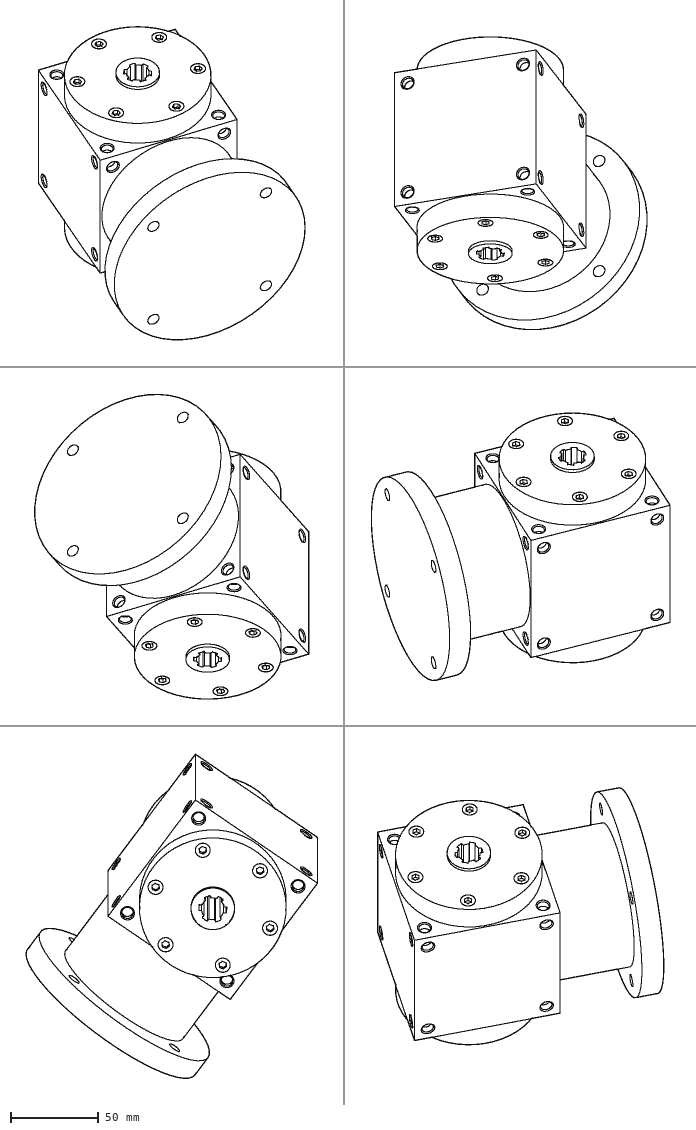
import cadquery as cq
import math

cube_size = 86.0
half_cube = cube_size / 2

cover_diameter = 84.0
cover_height = 15.0
cover_face = half_cube + cover_height

neck_diameter = cover_diameter
flange_diameter = 120.0
flange_thickness = 13.0
flange_end = 100.0
neck_length = flange_end - flange_thickness - half_cube
flange_bolt_circle = 100.0
flange_hole_diameter = 7.0
flange_hole_count = 4
flange_hole_start_angle = 45.0

mount_spacing = 70.0
mount_mouth_diameter = 8.0
mount_drill_diameter = 6.65
mount_depth = 4.5
drill_point_angle = 118.0

screw_count = 6
screw_circle_diameter = 70.0
screw_start_angle = 15.0
screw_head_diameter = 8.5
screw_head_setback = 0.1
socket_sides = 6
socket_across_flats = 4.0
socket_depth = 2.5

shaft_diameter = 25.0
shaft_overhang = 2.0
shaft_length = 2 * (cover_face + shaft_overhang)
spline_minor_diameter = 13.0
spline_major_diameter = 16.0
spline_groove_width = 3.5
spline_groove_count = 6


def polar_angles(count, start):
    """Evenly spaced angles in degrees."""
    return [start + 360.0 * i / count for i in range(count)]


def mount_hole():
    """Chamfered blind hole with a drill point, opening at Z = half_cube on the Z axis."""
    mouth_radius = mount_mouth_diameter / 2
    drill_radius = mount_drill_diameter / 2
    chamfer = mouth_radius - drill_radius
    point_height = drill_radius / math.tan(math.radians(drill_point_angle / 2))
    profile = (
        cq.Workplane("XZ")
        .moveTo(0, half_cube)
        .lineTo(mouth_radius, half_cube)
        .lineTo(drill_radius, half_cube - chamfer)
        .lineTo(drill_radius, half_cube - mount_depth)
        .lineTo(0, half_cube - mount_depth - point_height)
        .close()
    )
    return profile.revolve(360, (0, 0, 0), (0, 1, 0))


def face_mount_holes():
    """The four corner holes of the top face of the cube."""
    offset = mount_spacing / 2
    holes = cq.Workplane("XY")
    for x in (-offset, offset):
        for y in (-offset, offset):
            holes = holes.add(mount_hole().translate((x, y, 0)))
    return holes.combine()


def all_mount_holes():
    """The corner holes turned onto all six faces of the cube."""
    top_holes = face_mount_holes()
    holes = cq.Workplane("XY")
    for angle in (0, 90, 180, 270):
        holes = holes.add(top_holes.rotate((0, 0, 0), (1, 0, 0), angle))
    for angle in (90, -90):
        holes = holes.add(top_holes.rotate((0, 0, 0), (0, 1, 0), angle))
    return holes.vals()


def cover_screw_recesses():
    """Head setbacks and hexagon sockets of the screws in the top cover."""
    socket_across_corners = socket_across_flats / math.cos(math.pi / socket_sides)
    recess = (
        cq.Workplane("XY", origin=(0, 0, cover_face))
        .circle(screw_head_diameter / 2)
        .extrude(-screw_head_setback)
        .faces("<Z")
        .workplane()
        .polygon(socket_sides, socket_across_corners)
        .extrude(socket_depth)
        .translate((screw_circle_diameter / 2, 0, 0))
    )
    recesses = cq.Workplane("XY")
    for angle in polar_angles(screw_count, screw_start_angle):
        recesses = recesses.add(recess.rotate((0, 0, 0), (0, 0, 1), angle))
    return recesses.combine()


def make_housing():
    """Cube with covers, neck and flange, bored through for the output shaft."""
    cube = cq.Workplane("XY").box(cube_size, cube_size, cube_size)
    covers = cq.Workplane("XY").circle(cover_diameter / 2).extrude(cover_face, both=True)
    neck = (
        cq.Workplane("YZ", origin=(half_cube, 0, 0))
        .circle(neck_diameter / 2)
        .extrude(neck_length)
    )
    flange = (
        cq.Workplane("YZ", origin=(flange_end - flange_thickness, 0, 0))
        .circle(flange_diameter / 2)
        .extrude(flange_thickness)
    )
    flange_holes = (
        cq.Workplane("YZ", origin=(flange_end - flange_thickness, 0, 0))
        .polarArray(flange_bolt_circle / 2, flange_hole_start_angle, 360, flange_hole_count)
        .circle(flange_hole_diameter / 2)
        .extrude(flange_thickness)
    )
    shaft_bore = cq.Workplane("XY").circle(shaft_diameter / 2).extrude(cover_face, both=True)

    body = cube.union(covers).union(neck).union(flange)
    body = body.cut(flange_holes).cut(shaft_bore)
    for hole in all_mount_holes():
        body = body.cut(cq.Workplane(hole))

    top_recesses = cover_screw_recesses()
    return body.cut(top_recesses).cut(top_recesses.mirror("XY"))


def make_shaft():
    """Hollow shaft with a straight-sided internal spline along its full length."""
    shaft = cq.Workplane("XY").circle(shaft_diameter / 2).extrude(shaft_length / 2, both=True)
    bore = cq.Workplane("XY").circle(spline_minor_diameter / 2).extrude(shaft_length / 2, both=True)
    groove_limit = cq.Workplane("XY").circle(spline_major_diameter / 2).extrude(shaft_length / 2, both=True)
    for angle in polar_angles(spline_groove_count, 0)[: spline_groove_count // 2]:
        bar = (
            cq.Workplane("XY")
            .box(shaft_diameter, spline_groove_width, shaft_length)
            .rotate((0, 0, 0), (0, 0, 1), angle)
        )
        bore = bore.union(bar.intersect(groove_limit))
    return shaft.cut(bore)


housing = make_housing()
shaft = make_shaft()

result = cq.Compound.makeCompound([housing.solids().val(), shaft.solids().val()])